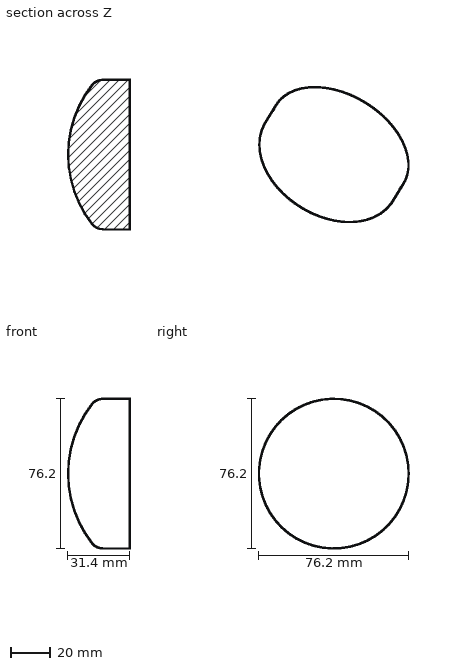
import cadquery as cq
import math

outer_radius = 38.1
total_depth = 31.4
rim_depth = 13.6
knuckle_radius = 7.25

knuckle_center_radius = outer_radius - knuckle_radius
dome_height = total_depth - rim_depth

dome_radius = (knuckle_center_radius**2 + dome_height**2 - knuckle_radius**2) / (
    2 * (dome_height - knuckle_radius)
)
dome_center_x = dome_radius - dome_height

meeting_angle = math.atan2(knuckle_center_radius, dome_center_x)


def arc_point(center_x, center_y, radius, angle):
    """Point on a profile arc, the angle measured from -X towards +Y."""
    return (center_x - radius * math.cos(angle), center_y + radius * math.sin(angle))


dome_middle = arc_point(dome_center_x, 0, dome_radius, meeting_angle / 2)
dome_edge = arc_point(dome_center_x, 0, dome_radius, meeting_angle)
knuckle_middle = arc_point(0, knuckle_center_radius, knuckle_radius, (meeting_angle + math.pi / 2) / 2)

profile = (
    cq.Workplane("XY")
    .moveTo(-dome_height, 0)
    .threePointArc(dome_middle, dome_edge)
    .threePointArc(knuckle_middle, (0, outer_radius))
    .lineTo(rim_depth, outer_radius)
    .lineTo(rim_depth, 0)
    .close()
)

result = profile.revolve(360, (0, 0, 0), (1, 0, 0))